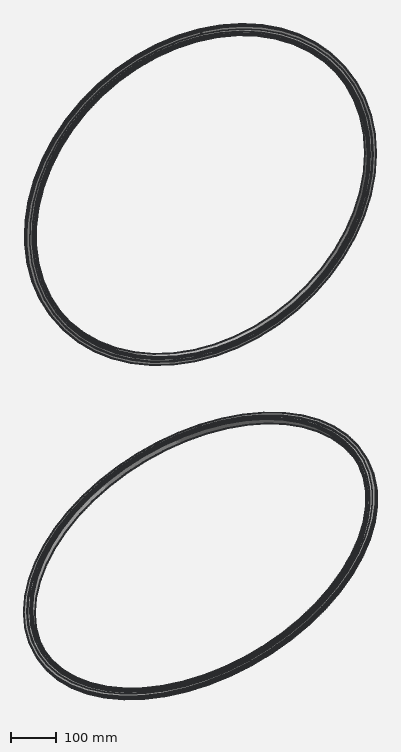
import cadquery as cq

OUTER_RADIUS = 420.0
OUTER_RING_INNER_RADIUS = 412.5
OUTER_RING_WIDTH = 10.0
SPLIT_GAP = 2.0

BAND_WIDTH = 3.0
BAND_THICKNESS = 2.5
BAND_DEPTH_BELOW_RIM = 1.0
BAND_OUTER_RADIUS = OUTER_RADIUS - BAND_DEPTH_BELOW_RIM
GROOVE_FLOOR_RADIUS = BAND_OUTER_RADIUS - BAND_THICKNESS

SEAL_DIAMETER = 8.0
SEAL_RADIUS = OUTER_RING_INNER_RADIUS - SEAL_DIAMETER / 2

INNER_RING_WIDTH = 14.0
INNER_RING_INNER_RADIUS = 398.0
LIP_OUTER_RADIUS = 401.5
SHOULDER_OUTER_RADIUS = 406.0
SHOULDER_WIDTH = 8.0


def make_hoop(inner_radius, outer_radius, width):
    """Flat hoop about the X axis, centred on the plane X = 0."""
    return (
        cq.Workplane("YZ")
        .circle(outer_radius)
        .circle(inner_radius)
        .extrude(width / 2, both=True)
    )


def make_seal():
    return (
        cq.Workplane("XZ")
        .moveTo(0, SEAL_RADIUS)
        .circle(SEAL_DIAMETER / 2)
        .revolve(360, (0, 0, 0), (1, 0, 0))
    )


def make_inner_ring():
    lip = make_hoop(INNER_RING_INNER_RADIUS, LIP_OUTER_RADIUS, INNER_RING_WIDTH)
    shoulder = make_hoop(INNER_RING_INNER_RADIUS, SHOULDER_OUTER_RADIUS, SHOULDER_WIDTH)
    return lip.union(shoulder).cut(make_seal())


def make_band():
    return make_hoop(GROOVE_FLOOR_RADIUS, BAND_OUTER_RADIUS, BAND_WIDTH)


def make_outer_ring():
    ring = make_hoop(OUTER_RING_INNER_RADIUS, OUTER_RADIUS, OUTER_RING_WIDTH)
    groove = make_hoop(GROOVE_FLOOR_RADIUS, OUTER_RADIUS, BAND_WIDTH)
    split = cq.Workplane("XY").box(
        OUTER_RING_WIDTH, SPLIT_GAP, OUTER_RADIUS, centered=(True, True, False)
    )
    return ring.cut(groove).cut(split)


inner_ring = make_inner_ring()
seal = make_seal()
band = make_band()
outer_ring = make_outer_ring()

result = cq.Compound.makeCompound(
    [inner_ring.val(), seal.val(), band.val(), outer_ring.val()]
)